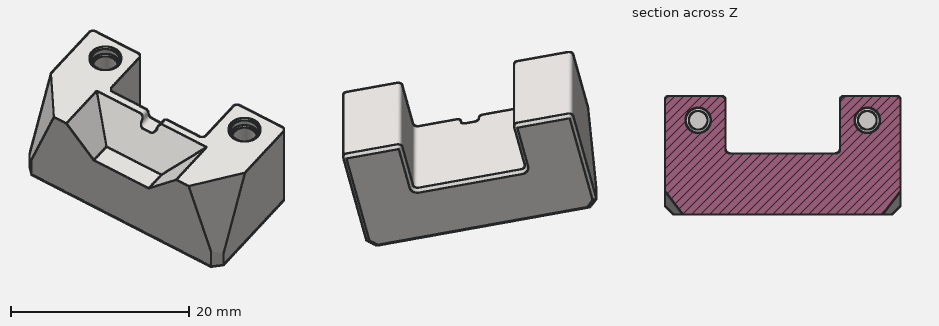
import cadquery as cq

LENGTH = 26.5
DEPTH = 13.35
HEIGHT = 12.0
FRONT_CORNER_CHAMFER = 1.0
BASE_CHAMFER = 0.4
VERTICAL_FILLET = 0.5

SLOT_WIDTH = 12.85
WALL_REAR_Y = 6.9

CORNER_CUT_X = 4.05
CORNER_CUT_Y = 5.27
CORNER_CUT_OVERSHOOT = 2.0

RECESS_TOP_WIDTH = 15.0
RECESS_FLOOR_WIDTH = 7.5
RECESS_DROP = 3.8
RECESS_TOP_Y = 6.0
RECESS_FLOOR_Y = 2.5

NOTCH_WIDTH = 2.05
NOTCH_DROP = 1.05
NOTCH_RADIUS = 0.5

HOLE_X = 9.5
HOLE_REAR_MARGIN = 2.75
MOUTH_DIAMETER = 3.6
BORE_DIAMETER = 3.2
BORE_DEPTH = 1.0
INNER_DIAMETER = 2.8
INNER_DEPTH = 6.0
PILOT_DIAMETER = 2.1
PILOT_DEPTH = 7.0

HALF_LENGTH = LENGTH / 2
SIDES = (-1, 1)


def make_body():
    """U-shaped block with chamfered front corners, rounded rear corners and a chamfered base."""
    half_slot = SLOT_WIDTH / 2
    outline = [
        (-HALF_LENGTH, 0),
        (HALF_LENGTH, 0),
        (HALF_LENGTH, DEPTH),
        (half_slot, DEPTH),
        (half_slot, WALL_REAR_Y),
        (-half_slot, WALL_REAR_Y),
        (-half_slot, DEPTH),
        (-HALF_LENGTH, DEPTH),
    ]
    body = cq.Workplane("XY").polyline(outline).close().extrude(HEIGHT)
    front_corners = cq.selectors.BoxSelector(
        (-LENGTH, -BASE_CHAMFER, 0), (LENGTH, BASE_CHAMFER, HEIGHT)
    )
    rear_corners = cq.selectors.BoxSelector((-LENGTH, BASE_CHAMFER, 0), (LENGTH, 2 * DEPTH, HEIGHT))
    body = body.edges("|Z").edges(rear_corners).fillet(VERTICAL_FILLET)
    body = body.edges("|Z").edges(front_corners).chamfer(FRONT_CORNER_CHAMFER)
    return body.faces("<Z").edges().chamfer(BASE_CHAMFER)


def make_corner_cut(side):
    """Inverted pyramid with its apex at a bottom front corner, widening upward past the top face."""
    corner_x = side * HALF_LENGTH
    inner_x = corner_x - side * CORNER_CUT_X * CORNER_CUT_OVERSHOOT
    apex = cq.Vector(corner_x, 0, 0)
    front = cq.Vector(inner_x, 0, HEIGHT * CORNER_CUT_OVERSHOOT)
    rear = cq.Vector(corner_x, CORNER_CUT_Y * CORNER_CUT_OVERSHOOT, HEIGHT * CORNER_CUT_OVERSHOOT)
    above = cq.Vector(corner_x, 0, HEIGHT * CORNER_CUT_OVERSHOOT)
    triangles = [
        (apex, front, rear),
        (apex, front, above),
        (apex, above, rear),
        (front, above, rear),
    ]
    faces = [cq.Face.makeFromWires(cq.Wire.makePolygon([*t], close=True)) for t in triangles]
    return cq.Workplane(obj=cq.Solid.makeSolid(cq.Shell.makeShell(faces)))


def make_recess():
    """Trapezoidal channel from the front, ended by a sloping rear face."""
    half_top = RECESS_TOP_WIDTH / 2
    half_floor = RECESS_FLOOR_WIDTH / 2
    floor_z = HEIGHT - RECESS_DROP
    channel = (
        cq.Workplane("XZ")
        .polyline([(-half_top, HEIGHT), (-half_floor, floor_z), (half_floor, floor_z), (half_top, HEIGHT)])
        .close()
        .extrude(-RECESS_TOP_Y)
    )
    side_profile = (
        cq.Workplane("YZ")
        .polyline([(0, HEIGHT), (0, floor_z), (RECESS_FLOOR_Y, floor_z), (RECESS_TOP_Y, HEIGHT)])
        .close()
        .extrude(half_top, both=True)
    )
    return channel.intersect(side_profile)


def make_notch():
    """Notch with rounded bottom corners and rounded shoulders at the top face."""
    half_width = NOTCH_WIDTH / 2
    half_floor = half_width - NOTCH_RADIUS
    half_mouth = half_width + NOTCH_RADIUS
    floor_z = HEIGHT - NOTCH_DROP
    shoulder_z = HEIGHT - NOTCH_RADIUS
    return (
        cq.Workplane("XZ")
        .moveTo(-half_mouth, HEIGHT)
        .radiusArc((-half_width, shoulder_z), NOTCH_RADIUS)
        .lineTo(-half_width, floor_z + NOTCH_RADIUS)
        .radiusArc((-half_floor, floor_z), -NOTCH_RADIUS)
        .lineTo(half_floor, floor_z)
        .radiusArc((half_width, floor_z + NOTCH_RADIUS), -NOTCH_RADIUS)
        .lineTo(half_width, shoulder_z)
        .radiusArc((half_mouth, HEIGHT), NOTCH_RADIUS)
        .close()
        .extrude(-WALL_REAR_Y)
    )


def make_hole(side):
    """Blind hole: chamfered mouth, wide bore, conical step, narrower bore and a pilot below it."""
    mouth_chamfer = (MOUTH_DIAMETER - BORE_DIAMETER) / 2
    step_height = (BORE_DIAMETER - INNER_DIAMETER) / 2
    profile = [
        (0, 0),
        (MOUTH_DIAMETER / 2, 0),
        (BORE_DIAMETER / 2, -mouth_chamfer),
        (BORE_DIAMETER / 2, -BORE_DEPTH),
        (INNER_DIAMETER / 2, -BORE_DEPTH - step_height),
        (INNER_DIAMETER / 2, -INNER_DEPTH),
        (PILOT_DIAMETER / 2, -INNER_DEPTH),
        (PILOT_DIAMETER / 2, -PILOT_DEPTH),
        (0, -PILOT_DEPTH),
    ]
    hole = cq.Workplane("XZ").polyline(profile).close().revolve(360, (0, 0), (0, 1))
    return hole.translate((side * HOLE_X, DEPTH - HOLE_REAR_MARGIN, HEIGHT))


result = make_body().cut(make_recess()).cut(make_notch())
for side in SIDES:
    result = result.cut(make_corner_cut(side)).cut(make_hole(side))